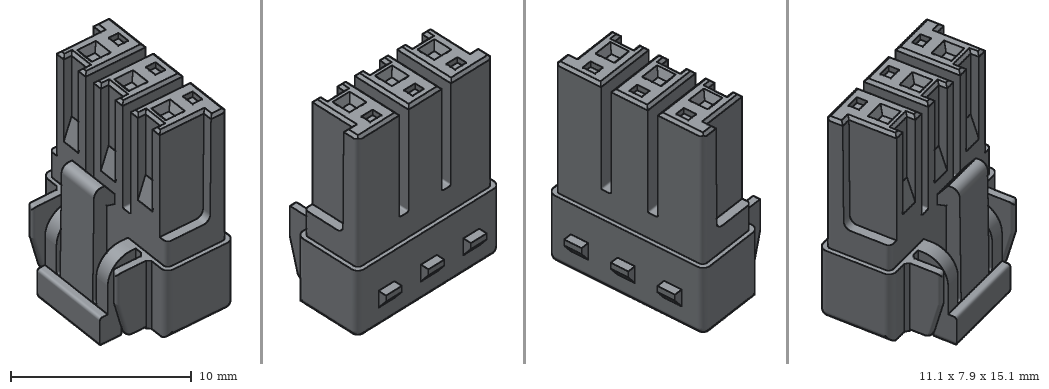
import cadquery as cq
import math


WAYS = 3
PITCH = 3.3
TOWER_WIDTH = 2.6
TOWER_TOP = 14.0
TOWER_CHAMFER = 0.2
GAP_FLOOR = 6.6
GAP_FILLET = 0.12
way_centres = [(i - (WAYS - 1) / 2) * PITCH for i in range(WAYS)]
gap_centres = [(a + b) / 2 for a, b in zip(way_centres, way_centres[1:])]

BODY_LENGTH = 10.5
BODY_FRONT = -2.13
BODY_BACK = 2.1
BODY_FILLET = 0.32

END_NOTCH_BACK_TOP = 0.98
END_NOTCH_BACK_FLOOR = 0.92
END_NOTCH_FILLET = 0.5
tower_row_half = way_centres[-1] + TOWER_WIDTH / 2

CHANNEL_WIDTH = 1.3
CHANNEL_DEPTH = 0.55
CHANNEL_RAMP_TOP = 9.53
CHANNEL_RAMP_BOTTOM = 8.0

FUNNEL_MOUTH = 1.31
FUNNEL_FLOOR = 0.65
FUNNEL_DEPTH = 0.48
FUNNEL_Y = -0.51
PROBE_WIDTH = 0.88
PROBE_LENGTH = 0.7
PROBE_DEPTH = 0.4
PROBE_Y = 1.21

SLEEVE_LENGTH = 11.1
SLEEVE_FRONT = -2.4
SLEEVE_BACK = 2.39
SLEEVE_HEIGHT = 4.8
SLEEVE_FILLET = 0.5

TOOTH_WIDTH = 1.24
TOOTH_REACH = 0.59
TOOTH_TOP = 2.63
TOOTH_EDGE = 2.2
TOOTH_BOTTOM = 1.43

WING_X = 3.76
WING_THICKNESS = 0.5
WING_TIP = -4.62
WING_KNEE_Z = 2.6
WING_TOE = -3.93
WING_TOE_FILLET = 0.5
WING_EDGE_FILLET = 0.2
WING_TOP_FILLET = 0.25
WING_ROOT_CHAMFER = 0.21

LATCH_WIDTH = 5.6
LATCH_OUTER = -4.36
LATCH_THICKNESS = 0.98
LATCH_BOTTOM = -1.1
ARCH_RADIUS = 1.68
TONGUE_WIDTH = 2.9
TONGUE_SLOT = 0.33
TONGUE_SLOT_FLOOR = 1.12
TONGUE_TOP = 8.92
TONGUE_TIP_OUTER = -4.27
TONGUE_TIP_RADIUS = 0.53
HOOK_TIP = -2.8
HOOK_ROOT_Z = 7.46
HOOK_LOW_Z = 7.3
HOOK_HIGH_Z = 7.99
HOOK_CREST = -3.52
PAD_OUTER = -4.92
PAD_TOP = 1.1
PAD_TOP_FILLET = 0.2
PAD_BOTTOM_FILLET = 0.5
latch_inner = LATCH_OUTER + LATCH_THICKNESS
latch_opening = TONGUE_WIDTH + 2 * TONGUE_SLOT

DIAGONAL = math.sqrt(0.5)


def block(x_size, y_range, z_range, x_centre=0):
    """Box centred on x_centre in X, spanning the given ranges in Y and Z."""
    (y0, y1), (z0, z1) = y_range, z_range
    return (
        cq.Workplane("XY")
        .box(x_size, y1 - y0, z1 - z0)
        .translate((x_centre, (y0 + y1) / 2, (z0 + z1) / 2))
    )


def extrude_side(outline, width, x_centre=0):
    """Closed YZ outline extruded symmetrically about x_centre."""
    return outline.close().extrude(width / 2, both=True).translate((x_centre, 0, 0))


def side_prism(points, width, x_centre=0):
    """Straight-sided YZ outline extruded symmetrically about x_centre."""
    return extrude_side(cq.Workplane("YZ").polyline(points), width, x_centre)


def make_body():
    body = block(BODY_LENGTH, (BODY_FRONT, BODY_BACK), (0, TOWER_TOP))
    rounded_plan = body.edges("|Z").fillet(BODY_FILLET)

    for x in gap_centres:
        gap = block(PITCH - TOWER_WIDTH, (2 * BODY_FRONT, 2 * BODY_BACK), (GAP_FLOOR, 2 * TOWER_TOP), x)
        body = body.cut(gap.edges("|Y and <Z").fillet(GAP_FILLET))

    for side in (-1, 1):
        notch_width = BODY_LENGTH / 2 - tower_row_half
        notch = side_prism([
            (BODY_FRONT, GAP_FLOOR),
            (END_NOTCH_BACK_FLOOR, GAP_FLOOR),
            (END_NOTCH_BACK_TOP, TOWER_TOP),
            (BODY_FRONT, TOWER_TOP),
        ], notch_width, side * (tower_row_half + notch_width / 2))
        body = body.cut(notch.faces("<Z").edges(">Y").fillet(END_NOTCH_FILLET))

    for x in way_centres:
        channel_floor = BODY_FRONT + CHANNEL_DEPTH
        body = body.cut(side_prism([
            (BODY_FRONT, CHANNEL_RAMP_BOTTOM),
            (channel_floor, CHANNEL_RAMP_TOP),
            (channel_floor, TOWER_TOP),
            (BODY_FRONT, TOWER_TOP),
        ], CHANNEL_WIDTH, x))

    body = body.faces(">Z").chamfer(TOWER_CHAMFER).intersect(rounded_plan)

    for x in way_centres:
        funnel = (
            cq.Workplane("XY", origin=(x, FUNNEL_Y, TOWER_TOP))
            .rect(FUNNEL_MOUTH, FUNNEL_MOUTH)
            .workplane(offset=-FUNNEL_DEPTH)
            .rect(FUNNEL_FLOOR, FUNNEL_FLOOR)
            .loft()
        )
        probe_hole = block(
            PROBE_WIDTH,
            (PROBE_Y - PROBE_LENGTH / 2, PROBE_Y + PROBE_LENGTH / 2),
            (TOWER_TOP - PROBE_DEPTH, TOWER_TOP),
            x,
        )
        body = body.cut(funnel).cut(probe_hole)
    return body


def make_sleeve():
    envelope = block(SLEEVE_LENGTH, (SLEEVE_FRONT, SLEEVE_BACK), (0, SLEEVE_HEIGHT))
    rounded_plan = envelope.edges("|Z").fillet(SLEEVE_FILLET)
    rounded_base = envelope.edges("|Z and >Y").fillet(SLEEVE_FILLET)
    rounded_base = rounded_base.faces("<Z").edges("not(<Y)").fillet(SLEEVE_FILLET)
    sleeve = rounded_base.intersect(rounded_plan)

    opening = block(latch_opening, (SLEEVE_FRONT, BODY_FRONT), (0, SLEEVE_HEIGHT))
    return sleeve.cut(opening)


def make_tooth(x):
    tip = SLEEVE_BACK + TOOTH_REACH
    return side_prism([
        (0, TOOTH_TOP),
        (tip, TOOTH_TOP),
        (tip, TOOTH_EDGE),
        (SLEEVE_BACK, TOOTH_BOTTOM),
        (0, TOOTH_BOTTOM),
    ], TOOTH_WIDTH, x)


def make_wing(x):
    wing = side_prism([
        (BODY_FRONT, SLEEVE_HEIGHT),
        (WING_TIP, SLEEVE_HEIGHT),
        (WING_TIP, WING_KNEE_Z),
        (WING_TOE, 0),
        (BODY_FRONT, 0),
    ], WING_THICKNESS, x)
    wing = wing.faces("<Z").edges("<Y").fillet(WING_TOE_FILLET)
    rims = wing.faces("<X or >X").edges("not(>Z or >Y)")
    wing = rims.fillet(WING_EDGE_FILLET)
    top_round = block(WING_THICKNESS, (WING_TIP, BODY_FRONT), (0, SLEEVE_HEIGHT), x)
    wing = wing.intersect(top_round.edges("|X and >Z and <Y").fillet(WING_TOP_FILLET))

    half_thickness = WING_THICKNESS / 2
    half_root = half_thickness + WING_ROOT_CHAMFER
    root_tip = SLEEVE_FRONT - WING_ROOT_CHAMFER
    root = (
        cq.Workplane("XY", origin=(x, 0, 0))
        .polyline([
            (-half_root, BODY_FRONT),
            (-half_root, SLEEVE_FRONT),
            (-half_thickness, root_tip),
            (half_thickness, root_tip),
            (half_root, SLEEVE_FRONT),
            (half_root, BODY_FRONT),
        ])
        .close()
        .extrude(SLEEVE_HEIGHT)
    )
    return wing.union(root)


def make_latch_frame():
    inner_radius = ARCH_RADIUS - LATCH_THICKNESS
    arch_y = LATCH_OUTER + ARCH_RADIUS
    arch_z = SLEEVE_HEIGHT - ARCH_RADIUS
    outline = (
        cq.Workplane("YZ")
        .moveTo(BODY_FRONT, SLEEVE_HEIGHT)
        .lineTo(arch_y, SLEEVE_HEIGHT)
        .threePointArc(
            (arch_y - ARCH_RADIUS * DIAGONAL, arch_z + ARCH_RADIUS * DIAGONAL),
            (LATCH_OUTER, arch_z),
        )
        .lineTo(LATCH_OUTER, 0)
        .lineTo(latch_inner, 0)
        .lineTo(latch_inner, arch_z)
        .threePointArc(
            (arch_y - inner_radius * DIAGONAL, arch_z + inner_radius * DIAGONAL),
            (arch_y, arch_z + inner_radius),
        )
        .lineTo(BODY_FRONT, arch_z + inner_radius)
    )
    frame = extrude_side(outline, LATCH_WIDTH)
    round_centre_z = TONGUE_SLOT_FLOOR + TONGUE_SLOT / 2
    frame = frame.cut(block(latch_opening, (LATCH_OUTER, 0), (round_centre_z, SLEEVE_HEIGHT)))
    frame = frame.cut(block(TONGUE_WIDTH, (LATCH_OUTER, 0), (PAD_TOP, SLEEVE_HEIGHT)))
    for side in (-1, 1):
        slot_x = side * (TONGUE_WIDTH + TONGUE_SLOT) / 2
        slot_end = cq.Workplane("XZ", origin=(slot_x, 0, round_centre_z)).circle(TONGUE_SLOT / 2)
        frame = frame.cut(slot_end.extrude(-LATCH_OUTER))
    return frame


def make_latch_pad():
    pad = block(LATCH_WIDTH, (PAD_OUTER, latch_inner), (LATCH_BOTTOM, PAD_TOP))
    pad = pad.faces("<Z").edges("not(>Y)").fillet(PAD_BOTTOM_FILLET)
    return pad.edges("|X and >Z and <Y").fillet(PAD_TOP_FILLET)


def make_tongue():
    round_y = TONGUE_TIP_OUTER + TONGUE_TIP_RADIUS
    round_z = TONGUE_TOP - TONGUE_TIP_RADIUS
    outline = (
        cq.Workplane("YZ")
        .moveTo(latch_inner, 0)
        .lineTo(latch_inner, HOOK_ROOT_Z)
        .lineTo(HOOK_TIP, HOOK_LOW_Z)
        .lineTo(HOOK_TIP, HOOK_HIGH_Z)
        .lineTo(HOOK_CREST, TONGUE_TOP)
        .lineTo(round_y, TONGUE_TOP)
        .threePointArc(
            (round_y - TONGUE_TIP_RADIUS * DIAGONAL, round_z + TONGUE_TIP_RADIUS * DIAGONAL),
            (TONGUE_TIP_OUTER, round_z),
        )
        .lineTo(LATCH_OUTER, PAD_TOP)
        .lineTo(LATCH_OUTER, 0)
    )
    return extrude_side(outline, TONGUE_WIDTH)


result = make_body().union(make_sleeve())
for x in way_centres:
    result = result.union(make_tooth(x))
for x in (-WING_X, WING_X):
    result = result.union(make_wing(x))
result = result.union(make_latch_frame()).union(make_latch_pad()).union(make_tongue())